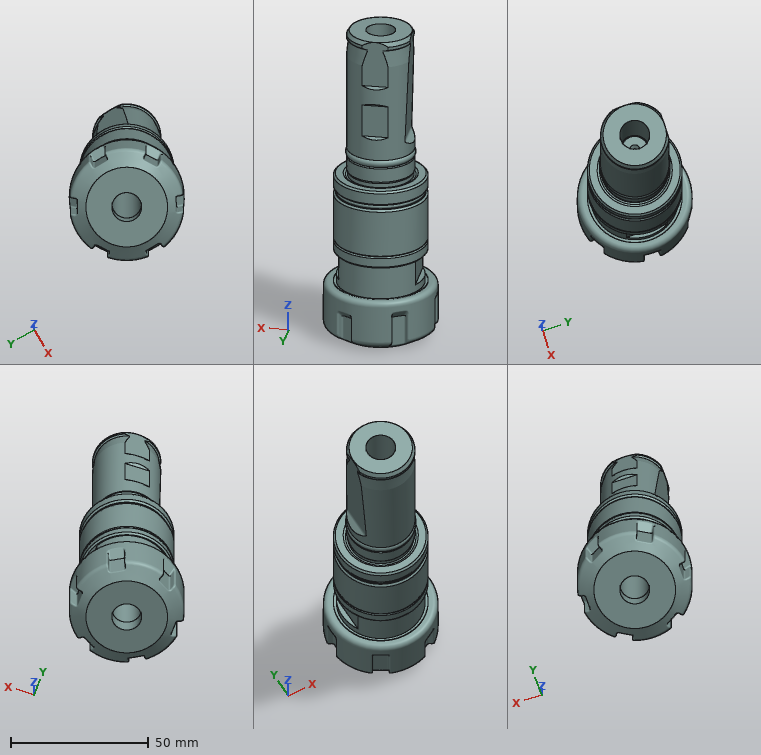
import cadquery as cq
import math

TOTAL_HEIGHT = 120.0

SHANK_RADIUS = 12.5
END_RADIUS = 11.5
END_CHAMFER_BOTTOM = 118.5
FLANGE_BOTTOM = 117.2
RELIEF_RADIUS = 11.9
RELIEF_TOP = 116.8
RELIEF_TAPER_TOP = 116.3
RELIEF_BOTTOM = 110.4

SHANK_BEAD_Z = 71.8
SHANK_BEAD_SECTION = 1.5
SHANK_BEAD_OUTER = 12.8
SHANK_GROOVE_HALF_WIDTH = 1.7
SHANK_GROOVE_RADIUS = 10.3
COLLAR_BEAD_Z = 56.5
COLLAR_BEAD_SECTION = 0.7
COLLAR_BEAD_OUTER = 16.5
COLLAR_GROOVE_HALF_WIDTH = 0.8
COLLAR_GROOVE_RADIUS = 15.1

UNDERCUT_TOP = 64.8
UNDERCUT_TAPER = 0.7
UNDERCUT_DEPTH = 0.4
UNDERCUT_FLOOR = 62.5
UNDERCUT_FLOOR_RADIUS = 12.8
UNDERCUT_OUTER_RADIUS = 13.7

COLLAR_RADIUS = 17.3
COLLAR_TOP = 63.0
COLLAR_BOTTOM = 32.4
COLLAR_CHAMFER = 0.7
V_GROOVE_Z = 37.0
V_GROOVE_SIZE = 0.5

NECK_RADIUS = 16.2
WRENCH_FLAT_OFFSET = 14.2
WRENCH_FLAT_BOTTOM = 22.9

BORE_RADIUS = 5.4

CLAMP_FLAT_TOP_OFFSET = 11.6
CLAMP_FLAT_ANGLE = math.radians(2)
CLAMP_FLAT_BOTTOM = 79.1
CLAMP_ROOT_RADIUS = 1.5

RECESS_OFFSET = 11.5
UPPER_RECESS_BOTTOM = 102.5
LOWER_RECESS_TOP = 94.7
LOWER_RECESS_BOTTOM = 82.5

NUT_DIAMETER = 41.9
NUT_RADIUS = NUT_DIAMETER / 2
NUT_TOP = 20.4
NUT_TOP_ROUND = 1.9
NUT_BOTTOM_ROUND = 2.0
NUT_CONE_ANGLE = math.radians(30)
NUT_CYLINDER_BOTTOM = 4.7
NUT_FLOOR = 6.0
RIM_RECESS_RADIUS = 17.3
RIM_RECESS_DEPTH = 0.4

SLOT_WIDTH = 6.0
SLOT_FLOOR_OFFSET = 18.0
SLOT_ROUND = 0.6
SLOT_MOUTH_ROUND = 0.6
SLOT_COUNT = 6
TALL_SLOT_TOP = 16.3
SHORT_SLOT_TOP = 14.4

SCREW_TOP = 96.0
SCREW_LENGTH = 14.4
SCREW_CHAMFER = 0.5
SCREW_HOLE_RADIUS = 0.6
SCREW_COUNTERSINK_RADIUS = 1.8

CLEARANCE = 6.0
EDGE_TOLERANCE = 0.01


def revolve(points):
    """Solid of revolution about Z from a closed outline of (radius, z) points."""
    return cq.Workplane("XZ").polyline(points).close().revolve(360, (0, 0, 0), (0, 1, 0))


def bead(inner_radius, outer_radius, section_radius, z):
    """Ring with a half-round outer side, standing on a groove floor."""
    arc_centre = outer_radius - section_radius
    bottom = z - section_radius
    top = z + section_radius
    return (
        cq.Workplane("XZ")
        .moveTo(inner_radius, bottom)
        .lineTo(arc_centre, bottom)
        .threePointArc((outer_radius, z), (arc_centre, top))
        .lineTo(inner_radius, top)
        .close()
        .revolve(360, (0, 0, 0), (0, 1, 0))
    )


def holder_blank():
    undercut_radius = SHANK_RADIUS - UNDERCUT_DEPTH
    chamfered_radius = COLLAR_RADIUS - COLLAR_CHAMFER
    return revolve([
        (BORE_RADIUS, TOTAL_HEIGHT),
        (END_RADIUS, TOTAL_HEIGHT),
        (SHANK_RADIUS, END_CHAMFER_BOTTOM),
        (SHANK_RADIUS, FLANGE_BOTTOM),
        (RELIEF_RADIUS, RELIEF_TOP),
        (RELIEF_RADIUS, RELIEF_TAPER_TOP),
        (SHANK_RADIUS, RELIEF_BOTTOM),
        (SHANK_RADIUS, UNDERCUT_TOP),
        (undercut_radius, UNDERCUT_TOP - UNDERCUT_TAPER),
        (undercut_radius, UNDERCUT_FLOOR),
        (UNDERCUT_FLOOR_RADIUS, UNDERCUT_FLOOR),
        (UNDERCUT_OUTER_RADIUS, COLLAR_TOP),
        (chamfered_radius, COLLAR_TOP),
        (COLLAR_RADIUS, COLLAR_TOP - COLLAR_CHAMFER),
        (COLLAR_RADIUS, COLLAR_BOTTOM + COLLAR_CHAMFER),
        (chamfered_radius, COLLAR_BOTTOM),
        (NECK_RADIUS, COLLAR_BOTTOM),
        (NECK_RADIUS, NUT_FLOOR),
        (BORE_RADIUS, NUT_FLOOR),
    ])


def shank_groove():
    outer = SHANK_RADIUS + CLEARANCE
    top = SHANK_BEAD_Z + SHANK_GROOVE_HALF_WIDTH
    bottom = SHANK_BEAD_Z - SHANK_GROOVE_HALF_WIDTH
    return revolve([
        (SHANK_GROOVE_RADIUS, bottom),
        (outer, bottom),
        (outer, top),
        (SHANK_GROOVE_RADIUS, top),
    ])


def collar_groove():
    """Square groove whose two mouth edges are chamfered."""
    top = COLLAR_BEAD_Z + COLLAR_GROOVE_HALF_WIDTH
    bottom = COLLAR_BEAD_Z - COLLAR_GROOVE_HALF_WIDTH
    mouth_radius = COLLAR_RADIUS - COLLAR_CHAMFER
    return revolve([
        (COLLAR_GROOVE_RADIUS, bottom),
        (mouth_radius, bottom),
        (COLLAR_RADIUS, bottom - COLLAR_CHAMFER),
        (COLLAR_RADIUS, top + COLLAR_CHAMFER),
        (mouth_radius, top),
        (COLLAR_GROOVE_RADIUS, top),
    ])


def collar_v_groove():
    return revolve([
        (COLLAR_RADIUS - V_GROOVE_SIZE, V_GROOVE_Z),
        (COLLAR_RADIUS, V_GROOVE_Z - V_GROOVE_SIZE),
        (COLLAR_RADIUS, V_GROOVE_Z + V_GROOVE_SIZE),
    ])


def wrench_flats():
    """Two slabs that leave parallel faces on the neck, on the -X and +X sides."""
    height = COLLAR_BOTTOM - WRENCH_FLAT_BOTTOM
    centre_z = WRENCH_FLAT_BOTTOM + height / 2
    slab_centre = WRENCH_FLAT_OFFSET + CLEARANCE / 2
    return (
        cq.Workplane("XY")
        .pushPoints([(-slab_centre, 0), (slab_centre, 0)])
        .box(CLEARANCE, 2 * NECK_RADIUS, height)
        .translate((0, 0, centre_z))
    )


def clamp_flat():
    """Flat that runs deeper toward the collar and ends in a rounded 45 degree ramp."""
    depth_gain = (TOTAL_HEIGHT - CLAMP_FLAT_BOTTOM) * math.tan(CLAMP_FLAT_ANGLE)
    root_x = depth_gain - CLAMP_FLAT_TOP_OFFSET
    overshoot = CLEARANCE * math.tan(CLAMP_FLAT_ANGLE)
    outer_x = root_x - CLEARANCE
    return (
        cq.Workplane("XZ")
        .polyline([
            (-CLAMP_FLAT_TOP_OFFSET - overshoot, TOTAL_HEIGHT + CLEARANCE),
            (root_x, CLAMP_FLAT_BOTTOM),
            (outer_x, CLAMP_FLAT_BOTTOM - CLEARANCE),
            (outer_x, TOTAL_HEIGHT + CLEARANCE),
        ])
        .close()
        .extrude(SHANK_RADIUS, both=True)
        .edges(cq.selectors.NearestToPointSelector((root_x, 0, CLAMP_FLAT_BOTTOM)))
        .fillet(CLAMP_ROOT_RADIUS)
    )


def side_recess(bottom, top, top_run):
    """Flat-bottomed cut on the +Y side, with a 45 degree ramp at its lower end.

    Its upper end rises by top_run over the overshoot, so zero makes it square.
    """
    return (
        cq.Workplane("YZ")
        .polyline([
            (RECESS_OFFSET, bottom),
            (RECESS_OFFSET, top),
            (RECESS_OFFSET + CLEARANCE, top + top_run),
            (RECESS_OFFSET + CLEARANCE, bottom - CLEARANCE),
        ])
        .close()
        .extrude(SHANK_RADIUS, both=True)
    )


def make_holder():
    body = holder_blank()
    shank_bead = bead(SHANK_GROOVE_RADIUS, SHANK_BEAD_OUTER, SHANK_BEAD_SECTION, SHANK_BEAD_Z)
    collar_bead = bead(COLLAR_GROOVE_RADIUS, COLLAR_BEAD_OUTER, COLLAR_BEAD_SECTION, COLLAR_BEAD_Z)
    body = body.cut(shank_groove()).union(shank_bead)
    body = body.cut(collar_groove()).union(collar_bead)
    body = body.cut(collar_v_groove())
    body = body.cut(wrench_flats())
    body = body.cut(clamp_flat())
    body = body.cut(side_recess(UPPER_RECESS_BOTTOM, TOTAL_HEIGHT + CLEARANCE, 0))
    return body.cut(side_recess(LOWER_RECESS_BOTTOM, LOWER_RECESS_TOP, CLEARANCE))


def nut_blank():
    """Cup with a rounded top rim and a rounded edge running into a conical underside."""
    round_bottom_z = NUT_CYLINDER_BOTTOM - NUT_BOTTOM_ROUND * math.cos(NUT_CONE_ANGLE)
    round_bottom_radius = NUT_RADIUS - NUT_BOTTOM_ROUND * (1 - math.sin(NUT_CONE_ANGLE))
    half_turn = (math.pi / 2 - NUT_CONE_ANGLE) / 2
    round_middle = (
        NUT_RADIUS - NUT_BOTTOM_ROUND * (1 - math.cos(half_turn)),
        NUT_CYLINDER_BOTTOM - NUT_BOTTOM_ROUND * math.sin(half_turn),
    )
    face_radius = round_bottom_radius - round_bottom_z / math.tan(NUT_CONE_ANGLE)
    top_round_inset = NUT_TOP_ROUND * (1 - math.cos(math.pi / 4))
    top_round_middle = (NUT_RADIUS - top_round_inset, NUT_TOP - top_round_inset)
    return (
        cq.Workplane("XZ")
        .moveTo(BORE_RADIUS, 0)
        .lineTo(face_radius, 0)
        .lineTo(round_bottom_radius, round_bottom_z)
        .threePointArc(round_middle, (NUT_RADIUS, NUT_CYLINDER_BOTTOM))
        .lineTo(NUT_RADIUS, NUT_TOP - NUT_TOP_ROUND)
        .threePointArc(top_round_middle, (NUT_RADIUS - NUT_TOP_ROUND, NUT_TOP))
        .lineTo(RIM_RECESS_RADIUS, NUT_TOP)
        .lineTo(RIM_RECESS_RADIUS, NUT_TOP - RIM_RECESS_DEPTH)
        .lineTo(NECK_RADIUS, NUT_TOP - RIM_RECESS_DEPTH)
        .lineTo(NECK_RADIUS, NUT_FLOOR)
        .lineTo(BORE_RADIUS, NUT_FLOOR)
        .close()
        .revolve(360, (0, 0, 0), (0, 1, 0))
    )


def nut_slot(angle, top):
    """Spanner slot, open below, with a 45 degree ceiling and rounded inner corners."""
    outer = NUT_RADIUS + CLEARANCE
    floor_top = top - (NUT_RADIUS - SLOT_FLOOR_OFFSET)
    return (
        cq.Workplane("XZ")
        .polyline([
            (SLOT_FLOOR_OFFSET, -CLEARANCE),
            (SLOT_FLOOR_OFFSET, floor_top),
            (outer, top + CLEARANCE),
            (outer, -CLEARANCE),
        ])
        .close()
        .extrude(SLOT_WIDTH / 2, both=True)
        .faces("<Y or >Y")
        .edges("(not >X) and (not <Z)")
        .fillet(SLOT_ROUND)
        .rotate((0, 0, 0), (0, 0, 1), angle)
    )


def slot_mouth_edges(body):
    """Upright edges where the slot walls break out through the nut's cylinder."""
    return [
        edge
        for edge in body.edges("|Z").vals()
        if abs(math.hypot(edge.Center().x, edge.Center().y) - NUT_RADIUS) < EDGE_TOLERANCE
        and edge.Center().z < SHORT_SLOT_TOP
    ]


def make_nut():
    """Slots facing -X are tall; the others are short. All slot mouths are rounded."""
    body = nut_blank()
    for index in range(SLOT_COUNT):
        angle = index * 360 / SLOT_COUNT
        faces_minus_x = math.cos(math.radians(angle)) < 0
        body = body.cut(nut_slot(angle, TALL_SLOT_TOP if faces_minus_x else SHORT_SLOT_TOP))
    return body.newObject(slot_mouth_edges(body)).fillet(SLOT_MOUTH_ROUND)


def make_stop_screw():
    """Plug in the holder bore, with a chamfered top and a countersunk central hole."""
    bottom = SCREW_TOP - SCREW_LENGTH
    countersink_depth = SCREW_COUNTERSINK_RADIUS - SCREW_HOLE_RADIUS
    return revolve([
        (SCREW_HOLE_RADIUS, bottom),
        (BORE_RADIUS, bottom),
        (BORE_RADIUS, SCREW_TOP - SCREW_CHAMFER),
        (BORE_RADIUS - SCREW_CHAMFER, SCREW_TOP),
        (SCREW_COUNTERSINK_RADIUS, SCREW_TOP),
        (SCREW_HOLE_RADIUS, SCREW_TOP - countersink_depth),
    ])


holder = make_holder()
nut = make_nut()
stop_screw = make_stop_screw()

result = cq.Compound.makeCompound([holder.val(), nut.val(), stop_screw.val()])